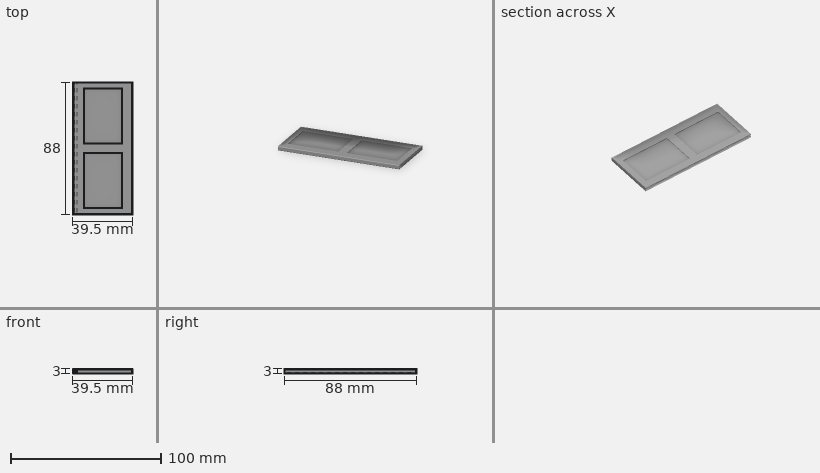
import cadquery as cq

width = 39.5
length = 88.0
thickness = 3.0
edge_radius = 0.5

field_width = 25.3
end_rail = 4.3
middle_rail = 6.25
field_depth = 0.5
field_length = (length - 2 * end_rail - middle_rail) / 2
field_offset = (middle_rail + field_length) / 2

hole_diameter = 1.5
hole_inset = 1.7


def make_panel():
    """Flat panel with its long edges rounded."""
    panel = cq.Workplane("XY").box(width, length, thickness)
    return panel.edges("|Y").fillet(edge_radius)


def make_fields():
    """Two rectangular blocks that sink the fields into the top face."""
    return (
        cq.Workplane("XY", origin=(0, 0, thickness / 2))
        .pushPoints([(0, -field_offset), (0, field_offset)])
        .rect(field_width, field_length)
        .extrude(-field_depth)
    )


def make_pivot_hole():
    """Cylinder along Y for the pivot rod."""
    return (
        cq.Workplane("XZ", origin=(hole_inset - width / 2, 0, 0))
        .circle(hole_diameter / 2)
        .extrude(length / 2, both=True)
    )


result = make_panel().cut(make_fields()).cut(make_pivot_hole())